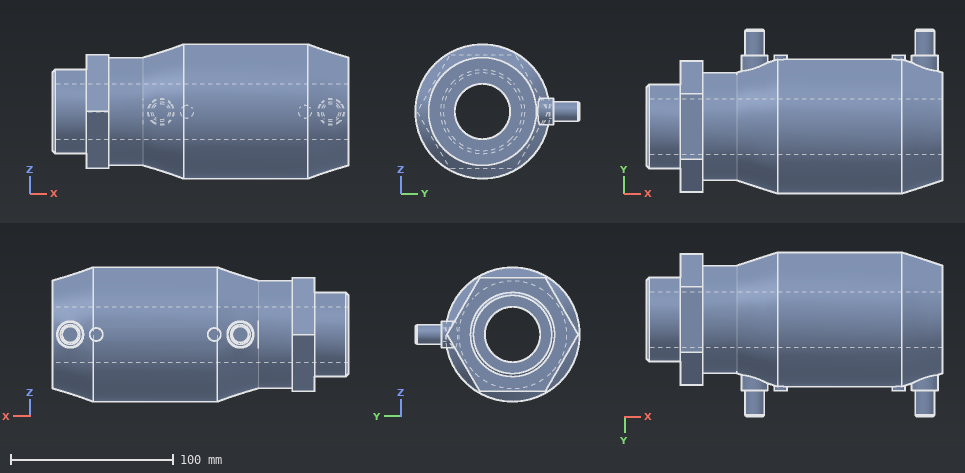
import cadquery as cq
import math

total_length = 183.0
hex_start = 21.0
hex_width = 13.9
taper_start = 55.8
taper_length = 25.3
body_start = taper_start + taper_length
body_end = total_length - taper_length
body_middle = (body_start + body_end) / 2

spigot_radius = 26.0
spigot_chamfer = 1.8
neck_radius = 33.3
body_radius = 41.5
bore_radius = 17.0
hex_across_flats = 70.0

terminal_spacing = 105.0
terminal_top = 60.0
terminal_radius = 6.0
terminal_chamfer = 1.1
collar_radius = 8.2
collar_top = 44.1
collar_chamfer = 0.5
stud_spacing = 72.8
stud_radius = 4.0
stud_top = collar_top
root_depth = 27.5


def turned_body():
    """Spigot, neck and barrel as one profile revolved about X."""
    return (
        cq.Workplane("XY")
        .moveTo(0, 0)
        .lineTo(0, spigot_radius - spigot_chamfer)
        .lineTo(spigot_chamfer, spigot_radius)
        .lineTo(hex_start, spigot_radius)
        .lineTo(hex_start, neck_radius)
        .lineTo(taper_start, neck_radius)
        .lineTo(body_start, body_radius)
        .lineTo(body_end, body_radius)
        .lineTo(total_length, neck_radius)
        .lineTo(total_length, 0)
        .close()
        .revolve(360, (0, 0, 0), (1, 0, 0))
    )


def hex_flange():
    """Wrench hexagon with corners on the Y axis and flats facing Z."""
    across_corners = hex_across_flats / math.cos(math.pi / 6)
    return cq.Workplane("YZ", origin=(hex_start, 0, 0)).polygon(6, across_corners).extrude(hex_width)


def side_cylinder(x, radius, top):
    """Round post along +Y, from inside the wall up to the given top."""
    base = cq.Workplane("XZ", origin=(x, root_depth, 0))
    return base.circle(radius).extrude(root_depth - top)


def terminal(x):
    """Chamfered contact pin standing on a wider collar."""
    collar = side_cylinder(x, collar_radius, collar_top).faces(">Y").chamfer(collar_chamfer)
    pin = side_cylinder(x, terminal_radius, terminal_top).faces(">Y").chamfer(terminal_chamfer)
    return collar.union(pin)


result = turned_body().union(hex_flange())
for side in (-1, 1):
    result = result.union(terminal(body_middle + side * terminal_spacing / 2))
    result = result.union(side_cylinder(body_middle + side * stud_spacing / 2, stud_radius, stud_top))

bore = cq.Workplane("YZ").circle(bore_radius).extrude(total_length)
result = result.cut(bore)